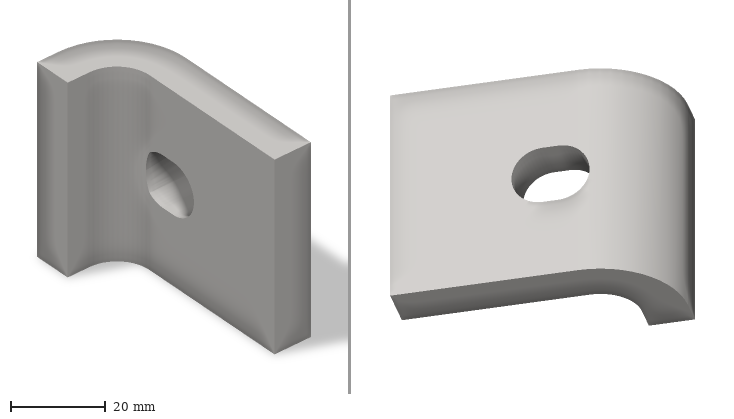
import cadquery as cq
import math

length = 60.0
depth = 25.0
height = 50.0

thickness = 10.0
outer_radius = 19.0
inner_radius = outer_radius - thickness
lip_length = depth - outer_radius

slot_width = 13.5
slot_left_center = 23.35
slot_right_center = 26.8
slot_radius = slot_width / 2
slot_mid_height = height / 2

clearance = 1.2

curve_steps = 12


def make_bent_sheet():
    """L-shaped sheet: short lip along Y, rounded bend, long plate along X."""
    diagonal = math.sqrt(0.5)
    outer_mid = (outer_radius * (1 - diagonal), lip_length + outer_radius * diagonal)
    inner_mid = (outer_radius - inner_radius * diagonal, lip_length + inner_radius * diagonal)
    return (
        cq.Workplane("XY")
        .moveTo(0, 0)
        .lineTo(0, lip_length)
        .threePointArc(outer_mid, (outer_radius, depth))
        .lineTo(length, depth)
        .lineTo(length, depth - thickness)
        .lineTo(outer_radius, depth - thickness)
        .threePointArc(inner_mid, (thickness, lip_length))
        .lineTo(thickness, 0)
        .close()
        .extrude(height)
    )


def make_flat_slot_cutter():
    """Part of the slot in the flat plate, ending where the bend begins."""
    slot_length = slot_right_center - slot_left_center + slot_width
    slot_mid_x = (slot_left_center + slot_right_center) / 2
    cut_start = depth - thickness - clearance
    cut_depth = thickness + 2 * clearance
    full_slot = (
        cq.Workplane("XZ", origin=(slot_mid_x, cut_start, slot_mid_height))
        .slot2D(slot_length, slot_width)
        .extrude(-cut_depth)
    )
    beyond_bend = cq.Workplane("XY").box(length, depth + clearance, height, centered=False)
    return full_slot.intersect(beyond_bend.translate((outer_radius, 0, 0)))


def wrapped_slot_edge(radius, side):
    """Half of the slot's left end at one bend radius, from the bend line to the tip.

    Arc length is kept on the outer face; side is +1 for the upper half, -1 for the lower.
    """
    start_angle = math.acos((slot_left_center - outer_radius) / slot_radius)
    points = []
    for step in range(curve_steps + 1):
        end_angle = start_angle * (1 - step / curve_steps)
        flat_x = slot_left_center - slot_radius * math.cos(end_angle)
        turn = (outer_radius - flat_x) / outer_radius
        points.append(
            cq.Vector(
                outer_radius - radius * math.sin(turn),
                lip_length + radius * math.cos(turn),
                slot_mid_height + side * slot_radius * math.sin(end_angle),
            )
        )
    return cq.Edge.makeSpline(points)


def make_bend_slot_cutter():
    """Part of the slot in the bend, with walls pointing at the bend axis."""
    near = inner_radius - clearance
    far = outer_radius + clearance
    upper_near = wrapped_slot_edge(near, 1)
    lower_near = wrapped_slot_edge(near, -1)
    upper_far = wrapped_slot_edge(far, 1)
    lower_far = wrapped_slot_edge(far, -1)
    bend_line_corners = [edge.startPoint() for edge in (upper_near, lower_near, lower_far, upper_far)]
    bend_line_face = cq.Face.makeFromWires(cq.Wire.makePolygon(bend_line_corners, close=True))
    faces = [
        cq.Face.makeRuledSurface(upper_near, upper_far),
        cq.Face.makeRuledSurface(lower_near, lower_far),
        cq.Face.makeRuledSurface(upper_near, lower_near),
        cq.Face.makeRuledSurface(upper_far, lower_far),
        bend_line_face,
    ]
    return cq.Solid.makeSolid(cq.Shell.makeShell(faces))


result = (
    make_bent_sheet()
    .cut(make_flat_slot_cutter())
    .cut(cq.Workplane(make_bend_slot_cutter()))
)